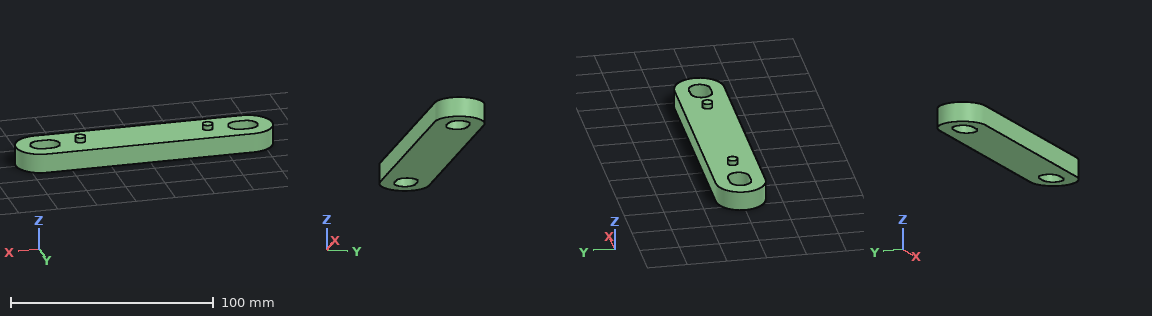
import cadquery as cq

bar_length = 131.0
bar_width = 25.0
bar_thickness = 10.0

slot_length = 14.8
slot_width = 10.7
slot_spacing = 101.0

pin_diameter = 5.0
pin_height = 2.5
pin_spacing = 65.0


def pair_along_bar(spacing):
    """Two points on the bar's centre line, symmetric about its middle."""
    return [(-spacing / 2, 0), (spacing / 2, 0)]


bar = cq.Workplane("XY").slot2D(bar_length, bar_width).extrude(bar_thickness)

slots = (
    cq.Workplane("XY")
    .pushPoints(pair_along_bar(slot_spacing))
    .slot2D(slot_length, slot_width)
    .extrude(bar_thickness)
)

pins = (
    cq.Workplane("XY", origin=(0, 0, bar_thickness))
    .pushPoints(pair_along_bar(pin_spacing))
    .circle(pin_diameter / 2)
    .extrude(pin_height)
)

result = bar.cut(slots).union(pins)